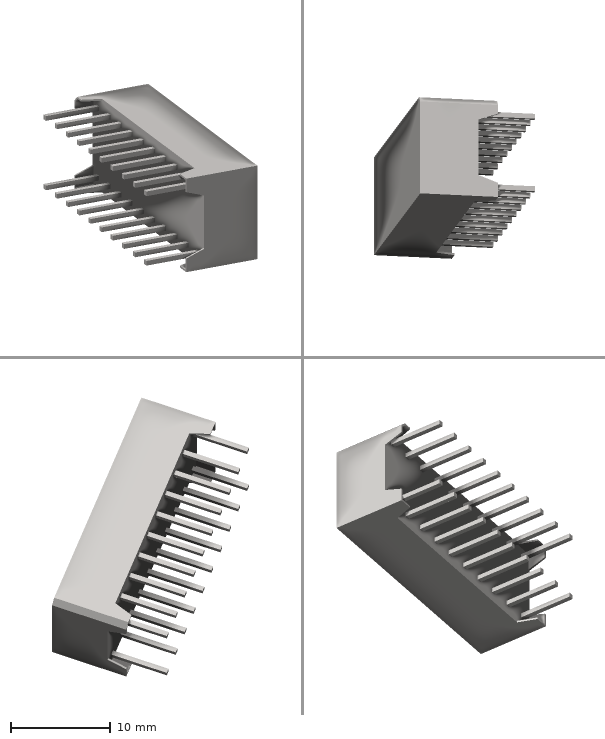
import cadquery as cq
import math

LENGTH = 25.4
HEIGHT = 10.15
TOTAL_DEPTH = 12.0
BODY_DEPTH = 8.0

WALL = 0.2
CORNER_CHAMFER = 0.58
FLOOR_RECESS = 2.0
FOOT_TIP = 1.47
FOOT_ROOT = 2.18

PIN_COUNT = 10
PIN_PITCH = 2.55
PIN_WIDTH = 0.5
ROW_SPACING = 7.55

FEET_Y = TOTAL_DEPTH - BODY_DEPTH
FLOOR_Y = FEET_Y + FLOOR_RECESS


def chamfered_block(inset, start_y, end_y):
    """Prism along Y, inset evenly from the housing sides, with one chamfered edge."""
    chamfer = CORNER_CHAMFER - inset * (2 - math.sqrt(2))
    return (
        cq.Workplane("XZ", origin=(0, start_y, 0))
        .rect(LENGTH - 2 * inset, HEIGHT - 2 * inset)
        .extrude(start_y - end_y)
        .edges("|Y and <X and >Z")
        .chamfer(chamfer)
    )


def make_housing():
    """Chamfered block hollowed from the pin side to leave an even wall."""
    block = chamfered_block(0, FEET_Y, TOTAL_DEPTH)
    return block.cut(chamfered_block(WALL, FEET_Y, FLOOR_Y))


def make_notch(plane, span, length):
    """Trapezoid cutter down to the floor that leaves a tapered foot at each end of the span."""
    tip = span / 2 - FOOT_TIP
    root = span / 2 - FOOT_ROOT
    outline = [
        (-tip, FEET_Y),
        (-root, FLOOR_Y),
        (root, FLOOR_Y),
        (tip, FEET_Y),
    ]
    return cq.Workplane(plane).polyline(outline).close().extrude(length / 2, both=True)


def cut_notches(housing):
    """Notch both long walls with one cutter and both end walls with another."""
    long_wall_plane = cq.Plane(origin=(0, 0, 0), xDir=(1, 0, 0), normal=(0, 0, 1))
    end_wall_plane = cq.Plane(origin=(0, 0, 0), xDir=(0, 0, -1), normal=(1, 0, 0))
    housing = housing.cut(make_notch(long_wall_plane, LENGTH, HEIGHT))
    return housing.cut(make_notch(end_wall_plane, HEIGHT, LENGTH))


def make_pins():
    """Two rows of square pins running from the floor to the tips."""
    return (
        cq.Workplane("XZ")
        .rarray(PIN_PITCH, ROW_SPACING, PIN_COUNT, 2)
        .rect(PIN_WIDTH, PIN_WIDTH)
        .extrude(-FLOOR_Y)
    )


result = cut_notches(make_housing()).union(make_pins())